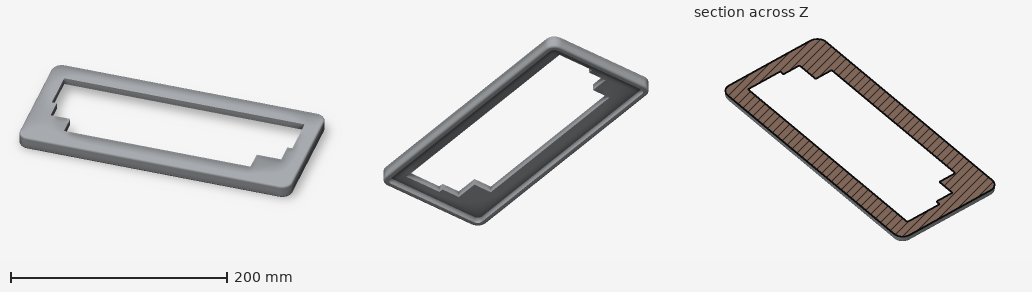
import cadquery as cq

length = 264.0
width = 117.0
height = 13.0
corner_radius = 10.0
edge_fillet = 2.0

plate_thickness = 6.5
rim_thickness = 5.0

key_pitch = 19.0
row_count = 4
keys_per_long_row = 12.25
opening_half_length = keys_per_long_row * key_pitch / 2
opening_half_width = row_count * key_pitch / 2
opening_shift = 0.3
quarter_key = key_pitch / 4


def rounded_block(block_length, block_width, block_height, radius):
    """Block standing on Z = 0 with rounded vertical corners."""
    block = cq.Workplane("XY").box(block_length, block_width, block_height, centered=(True, True, False))
    return block.edges("|Z").fillet(radius)


def frame():
    """Outer body with rounded top and bottom rims."""
    body = rounded_block(length, width, height, corner_radius)
    return body.faces("<Z or >Z").edges().fillet(edge_fillet)


def underside_hollow():
    """Recess below the top plate, with corners concentric to the outer ones."""
    return rounded_block(
        length - 2 * rim_thickness,
        width - 2 * rim_thickness,
        height - plate_thickness,
        corner_radius - rim_thickness,
    )


def key_opening():
    """Stepped cutter: two full rows, a slightly shorter third row and a short front row."""
    back = opening_shift + opening_half_width
    third_row_back = back - 2 * key_pitch
    front_row_back = third_row_back - key_pitch
    front = opening_shift - opening_half_width
    third_row_end = opening_half_length - quarter_key
    front_row_left = -third_row_end + key_pitch
    front_row_right = third_row_end - key_pitch - quarter_key
    outline = [
        (-opening_half_length, back),
        (opening_half_length, back),
        (opening_half_length, third_row_back),
        (third_row_end, third_row_back),
        (third_row_end, front_row_back),
        (front_row_right, front_row_back),
        (front_row_right, front),
        (front_row_left, front),
        (front_row_left, front_row_back),
        (-third_row_end, front_row_back),
        (-third_row_end, third_row_back),
        (-opening_half_length, third_row_back),
    ]
    return cq.Workplane("XY").polyline(outline).close().extrude(height)


result = frame().cut(underside_hollow()).cut(key_opening())